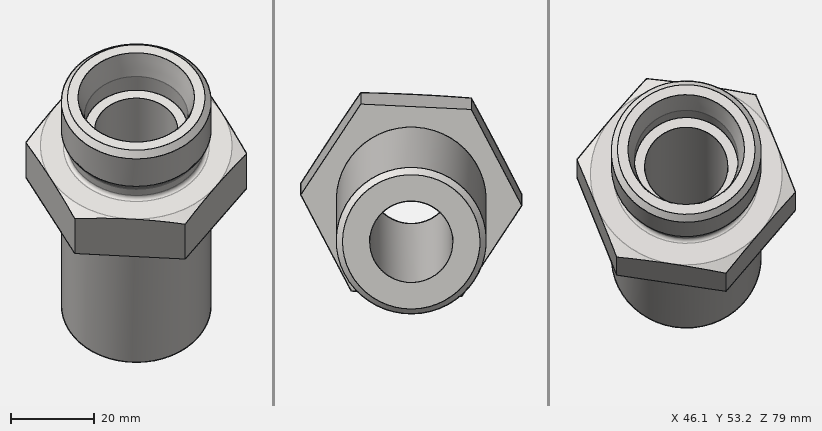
import cadquery as cq
import math

total_height = 79.0
hex_bottom = 47.0
hex_top = 61.0

body_diameter = 36.0
neck_diameter = 33.0
chamfer_radial = (body_diameter - neck_diameter) / 2
bottom_chamfer_height = 1.35
top_chamfer_height = 1.5

neck_top = 64.6
collar_cone_angle = 30.0
neck_fillet = 1.0

across_flats = 46.05
hex_chamfer_angle = 15.0

bore_diameter = 20.0
seat_diameter = 25.0
mouth_diameter = 28.0
seat_half_angle = 12.0
seat_depth = 5.1


def make_body():
    """Turned outside of the part, revolved about Z."""
    body_r = body_diameter / 2
    neck_r = neck_diameter / 2
    end_r = body_r - chamfer_radial
    cone_angle = math.radians(collar_cone_angle)
    collar_bottom = neck_top + (body_r - neck_r) / math.tan(cone_angle)
    setback = neck_fillet * math.tan(cone_angle / 2)
    cone_start = (neck_r + setback * math.sin(cone_angle), neck_top + setback * math.cos(cone_angle))
    return (
        cq.Workplane("XZ")
        .moveTo(0, 0)
        .lineTo(end_r, 0)
        .lineTo(body_r, bottom_chamfer_height)
        .lineTo(body_r, hex_top)
        .lineTo(neck_r + neck_fillet, hex_top)
        .tangentArcPoint((neck_r, hex_top + neck_fillet), relative=False)
        .lineTo(neck_r, neck_top - setback)
        .tangentArcPoint(cone_start, relative=False)
        .lineTo(body_r, collar_bottom)
        .lineTo(body_r, total_height - top_chamfer_height)
        .lineTo(end_r, total_height)
        .lineTo(0, total_height)
        .close()
        .revolve(360, (0, 0, 0), (0, 1, 0))
    )


def make_hexagon():
    """Hexagon with flats facing +X and -X, its upper corners turned to a cone."""
    across_corners = across_flats / math.cos(math.radians(30))
    corner_r = across_corners / 2
    flat_r = across_flats / 2
    corner_drop = (corner_r - flat_r) * math.tan(math.radians(hex_chamfer_angle))
    hexagon = (
        cq.Workplane("XY", origin=(0, 0, hex_bottom))
        .polygon(6, across_corners)
        .extrude(hex_top - hex_bottom)
        .rotate((0, 0, 0), (0, 0, 1), 30)
    )
    envelope = (
        cq.Workplane("XZ")
        .moveTo(0, hex_bottom)
        .lineTo(corner_r, hex_bottom)
        .lineTo(corner_r, hex_top - corner_drop)
        .lineTo(flat_r, hex_top)
        .lineTo(0, hex_top)
        .close()
        .revolve(360, (0, 0, 0), (0, 1, 0))
    )
    return hexagon.intersect(envelope)


def make_bore():
    """Through bore, seat counterbore and the cone that opens to the mouth."""
    bore_r = bore_diameter / 2
    seat_r = seat_diameter / 2
    mouth_r = mouth_diameter / 2
    cone_depth = (mouth_r - seat_r) / math.tan(math.radians(seat_half_angle))
    cone_bottom = total_height - cone_depth
    seat_floor = cone_bottom - seat_depth
    return (
        cq.Workplane("XZ")
        .moveTo(0, 0)
        .lineTo(bore_r, 0)
        .lineTo(bore_r, seat_floor)
        .lineTo(seat_r, seat_floor)
        .lineTo(seat_r, cone_bottom)
        .lineTo(mouth_r, total_height)
        .lineTo(0, total_height)
        .close()
        .revolve(360, (0, 0, 0), (0, 1, 0))
    )


result = make_body().union(make_hexagon()).cut(make_bore())